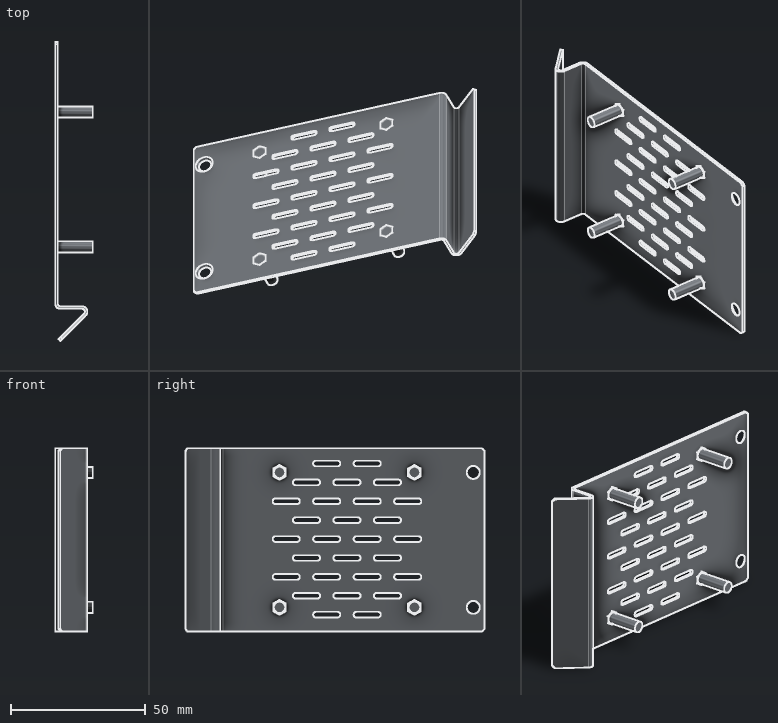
import cadquery as cq
import math

sheet = 1.0
panel_height = 68.0
panel_length = 99.0
panel_width = 110.87
flange_depth = 12.0
inner_bend = 1.0
outer_bend = inner_bend + sheet
corner_chamfer = 1.0
lip_angle = math.radians(45)

mount_inset = 4.2
mount_spacing = 50.0
countersink_diameter = 6.72
mount_diameter = countersink_diameter - 2 * sheet

standoff_length = 14.0
standoff_diameter = 4.2
head_across_flats = 4.8
head_diameter = head_across_flats / math.cos(math.pi / 6)
standoff_spacing = 50.0
pattern_inset = 51.0

slot_length = 10.0
slot_width = 2.0
slot_pitch = 15.0
row_pitch = 7.0
row_rise = 0.3
slots_per_row = [2, 3, 4, 3, 4, 3, 4, 3, 2]

free_edge_y = panel_length
pattern_y = free_edge_y - pattern_inset
mount_y = free_edge_y - mount_inset
tip_y = panel_length - panel_width


def point_on(center, radius, angle):
    """Point of a circle in the XY plane at an angle from +X."""
    return (center[0] + radius * math.cos(angle), center[1] + radius * math.sin(angle))


def spaced(count, pitch):
    """Positions of equally spaced items, centred on zero."""
    return [(i - (count - 1) / 2) * pitch for i in range(count)]


def on_panel(points):
    """Workplane on the outer face whose normal is +X, local axes Y and Z."""
    return cq.Workplane("YZ").pushPoints(points)


def bent_sheet():
    """Panel, flange and sloping lip, bent from one sheet."""
    first = (outer_bend, outer_bend)
    second = (flange_depth - outer_bend, -inner_bend)
    lip_outer_start = point_on(second, outer_bend, -lip_angle)
    lip_inner_start = point_on(second, inner_bend, -lip_angle)
    lip_drop = lip_outer_start[1] - tip_y
    lip_run = lip_drop / math.tan(lip_angle)
    mid_first = math.radians(225)
    mid_second = (math.radians(90) - lip_angle) / 2
    profile = (
        cq.Workplane("XY")
        .moveTo(0, free_edge_y)
        .lineTo(0, outer_bend)
        .threePointArc(point_on(first, outer_bend, mid_first), (outer_bend, 0))
        .lineTo(second[0], 0)
        .threePointArc(point_on(second, inner_bend, mid_second), lip_inner_start)
        .line(-lip_run, -lip_drop)
        .lineTo(lip_outer_start[0] - lip_run, tip_y)
        .lineTo(*lip_outer_start)
        .threePointArc(point_on(second, outer_bend, mid_second), (second[0], sheet))
        .lineTo(outer_bend, sheet)
        .threePointArc(point_on(first, inner_bend, mid_first), (sheet, outer_bend))
        .lineTo(sheet, free_edge_y)
        .close()
    )
    return profile.extrude(panel_height / 2, both=True)


def chamfer_corners(body):
    """Chamfer the sheet corners at the free edge and at the lip tip."""
    body = body.faces(">Y").edges("|X").chamfer(corner_chamfer)
    tip_edges = cq.selectors.ParallelDirSelector(
        cq.Vector(math.sin(lip_angle), -math.cos(lip_angle), 0)
    )
    return body.edges(tip_edges).chamfer(corner_chamfer)


def mounting_holes():
    """Countersinks that taper through the whole sheet, wide end on the outer face."""
    points = [(mount_y, z) for z in spaced(2, mount_spacing)]
    taper = math.degrees(math.atan2((countersink_diameter - mount_diameter) / 2, sheet))
    return on_panel(points).circle(countersink_diameter / 2).extrude(sheet, taper=taper)


def slots():
    """Staggered rows of slots, each row centred between the standoffs."""
    row_heights = spaced(len(slots_per_row), row_pitch)
    points = [
        (pattern_y + offset, z + row_rise)
        for count, z in zip(slots_per_row, row_heights)
        for offset in spaced(count, slot_pitch)
    ]
    return on_panel(points).slot2D(slot_length, slot_width).extrude(sheet)


def hex_head(y, z):
    """Hexagon as thick as the sheet, with corners pointing along Z."""
    head = cq.Workplane("YZ").polygon(6, head_diameter).extrude(sheet)
    return head.rotate((0, 0, 0), (1, 0, 0), 90).translate((0, y, z))


def make_standoff(y, z):
    """Round shank with a hexagonal head that lies flush in the sheet."""
    shank = on_panel([(y, z)]).circle(standoff_diameter / 2).extrude(standoff_length)
    return hex_head(y, z).union(shank, clean=False)


standoff_points = [
    (pattern_y + offset, z)
    for offset in spaced(2, standoff_spacing)
    for z in spaced(2, standoff_spacing)
]


def make_panel():
    """Bent sheet with all of its holes, including the hexagonal seats of the standoffs."""
    body = chamfer_corners(bent_sheet()).cut(mounting_holes()).cut(slots())
    for y, z in standoff_points:
        body = body.cut(hex_head(y, z))
    return body


panel = make_panel()
standoffs = [make_standoff(y, z) for y, z in standoff_points]

result = cq.Compound.makeCompound([panel.val(), *[standoff.val() for standoff in standoffs]])